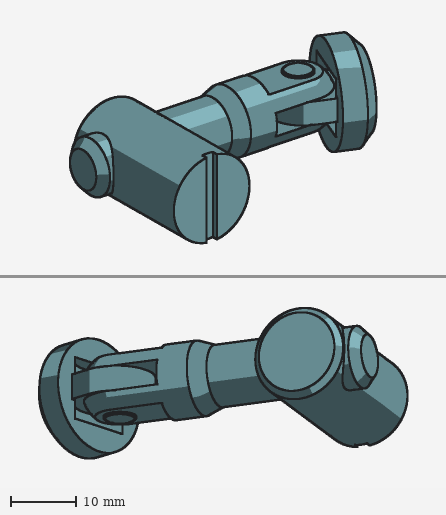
import cadquery as cq
import math


sleeve_radius = 7.3
sleeve_left = -6.3
sleeve_right = 20.0
sleeve_chamfer = 1.0
driver_slot_width = 2.0
driver_slot_depth = 1.0

spindle_radius = 4.85
spindle_front = -9.45
spindle_chamfer = 1.5
collar_radius = 5.85
cone_start = 15.6
cone_end = 18.45
fork_base = 23.5
fork_flat_height = 4.45
fork_gap = 4.0

hinge_y = 32.05
pin_radius = 2.55
pin_half_length = 4.8
pin_chamfer = 0.2

pad_tilt = 20.8
pad_radius = 9.01
pad_rim_height = 4.0
pad_chamfer = 2.0
pad_face = 4.45
tang_radius = 5.95
tang_center_offset = 0.7
tang_end_flat = 5.2
pocket_radius = 5.95
pocket_center_offset = 1.55
pocket_height = 9.9


def cylinder_y(radius, start, end):
    """Solid cylinder on the Y axis between two Y positions."""
    return cq.Workplane("XZ", origin=(0, start, 0)).circle(radius).extrude(start - end)


def cylinder_z(radius, half_length, y):
    """Solid cylinder parallel to Z, centred on Z = 0."""
    return cq.Workplane("XY", origin=(0, y, -half_length)).circle(radius).extrude(2 * half_length)


def box_between(x_range, y_range, z_range):
    """Box given by its lower and upper limit on each axis."""
    lows, highs = zip(x_range, y_range, z_range)
    size = [high - low for low, high in zip(lows, highs)]
    return cq.Workplane("XY").box(*size, centered=False).translate(lows)


def make_sleeve():
    """Cross cylinder with a bore for the spindle and a driver slot in its end."""
    length = sleeve_right - sleeve_left
    body = cq.Workplane("YZ", origin=(sleeve_left, 0, 0)).circle(sleeve_radius).extrude(length)
    body = body.faces("<X").chamfer(sleeve_chamfer)
    bore = cylinder_y(spindle_radius, -sleeve_radius, sleeve_radius)
    slot = box_between(
        (sleeve_right - driver_slot_depth, sleeve_right),
        (-driver_slot_width / 2, driver_slot_width / 2),
        (-sleeve_radius, sleeve_radius),
    )
    return body.cut(bore).cut(slot)


def make_spindle():
    """Turned shaft with a round-nosed, flat-sided fork at its far end."""
    nose_tip = hinge_y + collar_radius
    nose_mid = collar_radius * math.sqrt(0.5)
    body = (
        cq.Workplane("XY")
        .moveTo(0, spindle_front)
        .lineTo(spindle_radius - spindle_chamfer, spindle_front)
        .lineTo(spindle_radius, spindle_front + spindle_chamfer)
        .lineTo(spindle_radius, cone_start)
        .lineTo(collar_radius, cone_end)
        .lineTo(collar_radius, hinge_y)
        .threePointArc((nose_mid, hinge_y + nose_mid), (0, nose_tip))
        .close()
        .revolve(360, (0, 0, 0), (0, 1, 0))
    )
    across = (-collar_radius, collar_radius)
    along_fork = (fork_base, nose_tip)
    flat_waste = box_between(across, along_fork, (fork_flat_height, collar_radius))
    gap = box_between(across, along_fork, (-fork_gap / 2, fork_gap / 2))
    pin_hole = cylinder_z(pin_radius, collar_radius, hinge_y)
    return body.cut(flat_waste).cut(flat_waste.mirror("XY")).cut(gap).cut(pin_hole)


def make_hinge_pin():
    """Pin through fork and tang, chamfered at both ends."""
    return cylinder_z(pin_radius, pin_half_length, hinge_y).faces("|Z").chamfer(pin_chamfer)


def make_swivel_pad():
    """Round pad with a hinge tang and a pocket that clears the fork nose."""
    face_y = hinge_y + pad_face
    pocket_y = hinge_y + pocket_center_offset
    pad = cylinder_y(pad_radius, face_y, face_y + pad_rim_height + pad_chamfer)
    pad = pad.faces(">Y").chamfer(pad_chamfer)
    pad = pad.cut(cylinder_z(pocket_radius, pocket_height / 2, pocket_y))

    round_y = hinge_y + tang_center_offset
    tang_root = pocket_y + pocket_radius
    half_gap = fork_gap / 2
    tang = cylinder_z(tang_radius, half_gap, round_y).union(
        box_between((-tang_radius, tang_radius), (round_y, tang_root), (-half_gap, half_gap))
    )
    end_waste = box_between(
        (-tang_radius, tang_radius),
        (round_y - tang_radius, hinge_y - tang_end_flat),
        (-half_gap, half_gap),
    )
    tang = tang.cut(end_waste)
    pin_hole = cylinder_z(pin_radius, half_gap, hinge_y)
    return pad.union(tang).cut(pin_hole).rotate((0, hinge_y, 0), (0, hinge_y, 1), -pad_tilt)


sleeve = make_sleeve()
spindle = make_spindle()
hinge_pin = make_hinge_pin()
swivel_pad = make_swivel_pad()

result = cq.Compound.makeCompound([sleeve.val(), spindle.val(), hinge_pin.val(), swivel_pad.val()])